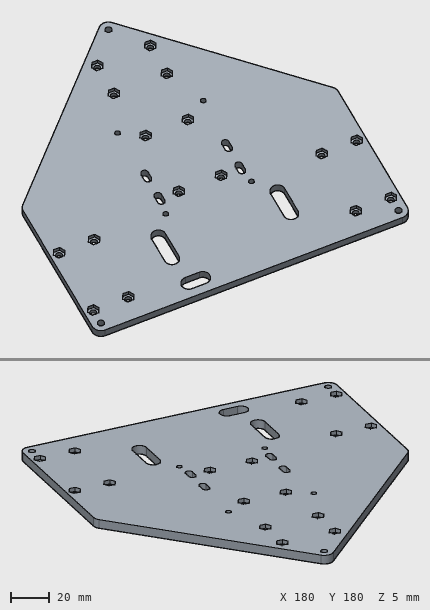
import cadquery as cq

plate_size = 180.0
thickness = 5.0
corner_radius = 5.0
corner_center = plate_size / 2 - corner_radius
shoulder_x = 2.0

mount_hole_diameter = 3.6
board_hole_diameter = 2.9
nut_hole_diameter = 3.6
nut_across_flats = 5.8
nut_pocket_depth = 2.3

cable_slot_width = 8.0
cable_slot_length = 24.0
side_slot_length = 16.0
strap_slot_width = 4.0
strap_slot_length = 8.0


def mirrored_points(x_positions, *y_distances):
    """Points at every X, on both sides of the centre line at each distance from it."""
    return [(x, side * y) for x in x_positions for y in y_distances for side in (-1, 1)]


mount_points = [(-corner_center, 0)] + mirrored_points([corner_center], corner_center)
board_points = mirrored_points([-22.5, 35.5], 24.5)
nut_points = (
    mirrored_points([34.5, 75.6], 65.0, corner_center)
    + mirrored_points([-66.6, -46.6], 15.1)
    + mirrored_points([-15.0, 25.0], 12.0)
)
cable_slot_points = mirrored_points([54.9], 34.0)
side_slot_points = [(81.0, -29.0)]
strap_slot_points = mirrored_points([9.0, 25.0], 23.0)


def make_plate():
    """Arrow-shaped plate: a five-sided outline through the corner centres, offset to round the corners."""
    centers = [
        (-corner_center, 0),
        (shoulder_x, -corner_center),
        (corner_center, -corner_center),
        (corner_center, corner_center),
        (shoulder_x, corner_center),
    ]
    outline = cq.Workplane("XY").polyline(centers).close().offset2D(corner_radius, "arc")
    return outline.extrude(thickness)


def through_holes(points, diameter):
    return cq.Workplane("XY").pushPoints(points).circle(diameter / 2).extrude(thickness)


def through_slots(points, length, width, angle=0):
    return cq.Workplane("XY").pushPoints(points).slot2D(length, width, angle).extrude(thickness)


def nut_pockets(points):
    """Hexagonal recesses in the top face, with corners pointing along X."""
    floor = cq.Workplane("XY").workplane(offset=thickness - nut_pocket_depth)
    hexagons = floor.pushPoints(points).polygon(6, nut_across_flats, circumscribed=True)
    return hexagons.extrude(nut_pocket_depth)


result = (
    make_plate()
    .cut(through_holes(mount_points, mount_hole_diameter))
    .cut(through_holes(board_points, board_hole_diameter))
    .cut(through_holes(nut_points, nut_hole_diameter))
    .cut(nut_pockets(nut_points))
    .cut(through_slots(cable_slot_points, cable_slot_length, cable_slot_width))
    .cut(through_slots(side_slot_points, side_slot_length, cable_slot_width, angle=90))
    .cut(through_slots(strap_slot_points, strap_slot_length, strap_slot_width))
)